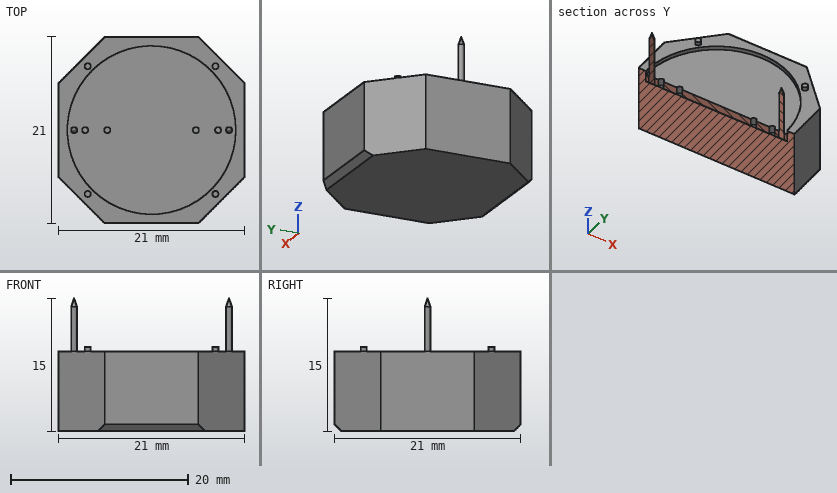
import cadquery as cq

width = 21.0
housing_height = 9.0
corner_cut = 5.2
bottom_chamfer = 0.75

recess_diameter = 19.0
plate_thickness = 1.0
plate_setback = 0.5
plate_top = housing_height - plate_setback
plate_bottom = plate_top - plate_thickness

peg_diameter = 0.7
peg_height = 0.5
peg_offset = 7.2

hole_diameter = 0.7
hole_offsets = (5.0, 7.5)

pin_diameter = 0.7
pin_offset = 8.74
pin_projection = 6.0
pin_point_length = 1.0
pin_tip = housing_height + pin_projection
pin_shoulder = pin_tip - pin_point_length


def make_housing():
    """Octagonal block with two chamfered bottom edges, a top recess and four pegs."""
    block = (
        cq.Workplane("XY")
        .rect(width, width)
        .extrude(housing_height)
        .edges("|Z")
        .chamfer(corner_cut)
    )
    bevel = (
        cq.Workplane("YZ")
        .polyline([
            (width / 2 - bottom_chamfer, 0),
            (width / 2, 0),
            (width / 2, bottom_chamfer),
        ])
        .close()
        .extrude(width / 2, both=True)
    )
    block = block.cut(bevel).cut(bevel.mirror("XZ"))

    recess = (
        cq.Workplane("XY", origin=(0, 0, plate_bottom))
        .circle(recess_diameter / 2)
        .extrude(housing_height - plate_bottom)
    )
    pegs = (
        cq.Workplane("XY", origin=(0, 0, housing_height))
        .rect(2 * peg_offset, 2 * peg_offset, forConstruction=True)
        .vertices()
        .circle(peg_diameter / 2)
        .extrude(peg_height)
    )
    return block.cut(recess).union(pegs)


def make_base_plate():
    """Disc filling the bottom of the recess, with open holes and holes for the pins."""
    hole_points = [(side * offset, 0) for side in (-1, 1) for offset in hole_offsets]
    pin_points = [(side * pin_offset, 0) for side in (-1, 1)]
    return (
        cq.Workplane("XY", origin=(0, 0, plate_bottom))
        .circle(recess_diameter / 2)
        .extrude(plate_thickness)
        .faces(">Z")
        .workplane()
        .pushPoints(hole_points)
        .hole(hole_diameter)
        .pushPoints(pin_points)
        .hole(pin_diameter)
    )


def make_pin(x):
    """Round pin through the base plate, ending in a sharp cone."""
    return (
        cq.Workplane("XZ")
        .moveTo(0, plate_bottom)
        .lineTo(pin_diameter / 2, plate_bottom)
        .lineTo(pin_diameter / 2, pin_shoulder)
        .lineTo(0, pin_tip)
        .close()
        .revolve(360, (0, 0), (0, 1))
        .translate((x, 0, 0))
    )


housing = make_housing()
base_plate = make_base_plate()
pins = [make_pin(side * pin_offset) for side in (-1, 1)]

result = cq.Compound.makeCompound([
    housing.val(),
    base_plate.val(),
    *[pin.val() for pin in pins],
])